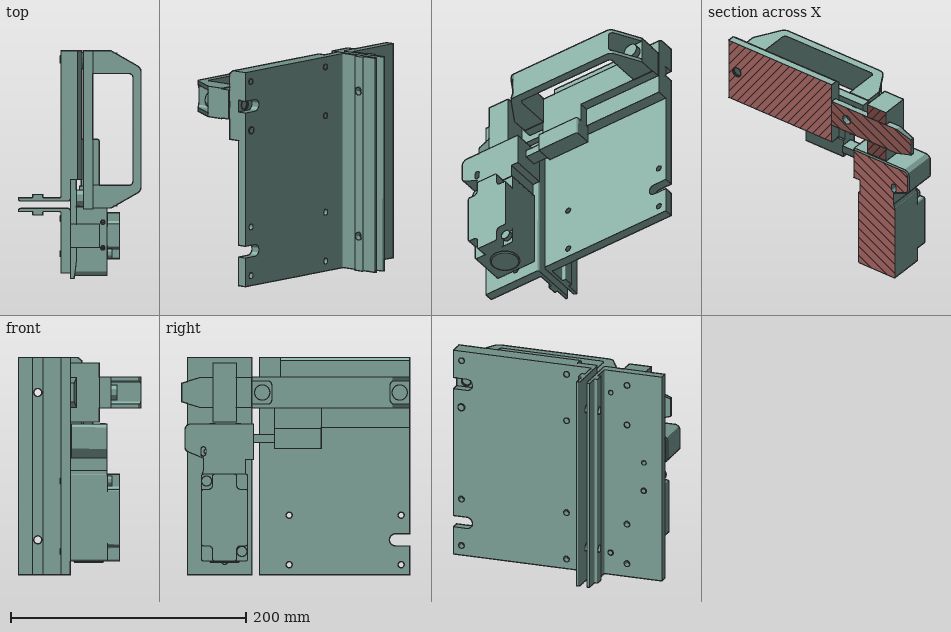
import cadquery as cq


HEIGHT = 185.0
MID_Z = HEIGHT / 2
DOOR_FLANGE_Y = 3.3
FRAME_FLANGE_Y = -2.7
FLANGE_THICK = 3.0
WEB_FRONT_X = 36.3
WEB_BACK_X = 44.2
WEB_THICK = WEB_BACK_X - WEB_FRONT_X
RIB_START_X = 12.2
RIB_END_X = 21.0
RIB_HEIGHT = 3.0
BEND_OUTER_R = 2.1
BEND_INNER_R = 1.2
TIP_R = 2.1
RIB_R = 0.5
DOOR_END_Y = 131.3
FRAME_END_Y = -57.8
FLANGE_HOLE_DIA = 6.5
FLANGE_HOLE_X = (RIB_START_X + RIB_END_X) / 2
LOCK_AXIS_OFFSET = 62.7
WEB_HOLE_DIA = 5.0
BLIND_HOLE_DEPTH = 0.5

DOOR_HOLE_YS = (124.0, 28.7)
DOOR_HOLE_OFFSETS = (83.8, 41.7)
SLOT_WIDTH = 10.0
SLOT_LENGTH = 17.3
CARRIER_BACK_X = 54.1
CARRIER_START_Y = 21.5
CARRIER_HEIGHT = 59.8
CARRIER_CHAMFER_X = 3.7
CARRIER_CHAMFER_Z = 2.7
SLOT_BORE_DIA = 8.0
SLOT_BORE_RIM_DIA = 8.5
SLOT_BORE_RIM_DEPTH = 0.5
SLOT_BORE_DEPTH = 2.0
STUD_DIA = 6.4
TIP_PROTRUSION = 0.8
TIP_CHAMFER = 0.4

BOLT_Z = MID_Z + LOCK_AXIS_OFFSET
BOLT_HEIGHT = 25.2
BOLT_BACK_X = 49.5
BOLT_TAPER_Y = -47.5
OVERALL_LENGTH = 194.0
BOLT_TIP_Y = DOOR_END_Y - OVERALL_LENGTH
BOLT_TIP_BACK_X = 47.5
BOLT_TIP_HEIGHT = 16.0
BOLT_HOLE_DIA = 8.0
SPACER_DIA = 14.0
SCREW_INSET = 8.5
PLATE_FRONT_X = 55.3
PLATE_BACK_X = 63.5
PLATE_END_Y = -3.5
HANDLE_END_Y = -2.7
HANDLE_HEIGHT = 26.4
HANDLE_BACK_X = 104.5
HANDLE_LEG = 19.5
HANDLE_GRIP = 7.2
HANDLE_SLOPE_X = 78.8
HANDLE_SLOPE_RISE = 14.7
HANDLE_OUTER_R = 6.4
HANDLE_INNER_R = 3.1
POCKET_HEIGHT = 19.8
POCKET_CORNER_R = 3.5
POCKET_DEPTH = 16.7
SCREW_HEAD_DIA = 13.0
SCREW_HEAD_LENGTH = 5.2
ACTUATOR_FRONT_X = 53.4
ACTUATOR_BACK_X = 69.0
ACTUATOR_START_Y = 56.0
ACTUATOR_END_Y = 16.1
ACTUATOR_BOTTOM_Z = 107.5
ACTUATOR_TOP_Z = 124.5
ACTUATOR_R = 2.3
TONGUE_FRONT_X = 52.0
TONGUE_BOTTOM_Z = 112.5
TONGUE_TOP_Z = 119.5

LOCK_Y = -26.2
GUIDE_BACK_X = ACTUATOR_BACK_X
GUIDE_WIDTH = 20.0
GUIDE_BOTTOM_Z = 130.0
GUIDE_TOP_Z = 180.5
GUIDE_HOLE_OFFSETS = (80.9, 45.0)
UPPER_SCREW_DROP = 12.6
LOWER_SCREW_DROP = 72.5
UPPER_SCREW = (-41.5, MID_Z - UPPER_SCREW_DROP)
LOWER_SCREW = (-11.5, MID_Z - LOWER_SCREW_DROP)
SPARE_HOLE_DIA = 4.0

HEAD_FRONT_X = WEB_BACK_X
HEAD_CHAMFER = 1.2
HEAD_BACK_X = 75.5
HEAD_TOP_Z = 128.5
HEAD_GAP_Y = -1.5
HEAD_NOSE_Y = -60.0
HEAD_HEEL_Z = 98.2
NOSE_CHIN_Z = 106.0
NOSE_TOP_R = 5.0
NOSE_CHIN_R = 4.3
NECK_Y = -44.2
NECK_TOP_Z = 99.3
NECK_FLARE_TOP_Z = 88.7
HEAD_SLOT_WIDTH = 4.0
HEAD_SLOT_LENGTH = 8.0
HEAD_SLOT_CENTER = (-44.2, MID_Z + UPPER_SCREW_DROP)
COVER_SCREW_DIA = 3.9
COVER_SCREW_X = 72.0
COVER_SCREW_YS = (-14.5, -36.5)
COVER_SCREW_PROTRUSION = 0.5
COVER_SCREW_CHAMFER = 0.4
DRIVER_SLOT_WIDTH = 0.5
CASE_BACK_X = 86.1
CASE_LEDGE_X = 76.0
CASE_BOTTOM_Z = 11.8
CASE_TOP_Z = 85.7
CASE_DEPTH = 39.4
CASE_EDGE_R = 1.7
NOTCH_DEPTH_Y = 9.5
NOTCH_DEPTH_Z = 13.0
NOTCH_INNER_R = 3.7
NOTCH_EDGE_R = 1.7
LOCK_SCREW_HEAD_DIA = 8.5
LOCK_SCREW_HEAD_LENGTH = 3.7
LOCK_SCREW_TIP_DIA = 4.8
GLAND_X = 60.0
GLAND_DIA = 25.2
GLAND_LENGTH = 1.4
GLAND_CHAMFER = 1.0


def block(x0, x1, y0, y1, z0, z1):
    """Box between the given limits."""
    return cq.Workplane("XY").box(x1 - x0, y1 - y0, z1 - z0, centered=False).translate((x0, y0, z0))


def rod_x(diameter, x0, x1, y, z):
    """Cylinder along X."""
    return cq.Workplane("YZ", origin=(x0, y, z)).circle(diameter / 2).extrude(x1 - x0)


def screw_tip(diameter, x_end, y, z):
    """Chamfered screw end that stands out of the front of a web."""
    x_start = WEB_FRONT_X - TIP_PROTRUSION
    return rod_x(diameter, x_start, x_end, y, z).faces("<X").chamfer(TIP_CHAMFER)


def bracket(side, gap_y, end_y):
    """L-profile with a ribbed flange; side is +1 on the +Y side of the gap and -1 on the other."""
    inner_y = gap_y + side * FLANGE_THICK
    rib_y = inner_y + side * RIB_HEIGHT
    outline = [
        (0, gap_y),
        (WEB_BACK_X, gap_y),
        (WEB_BACK_X, end_y),
        (WEB_FRONT_X, end_y),
        (WEB_FRONT_X, inner_y),
        (RIB_END_X, inner_y),
        (RIB_END_X, rib_y),
        (RIB_START_X, rib_y),
        (RIB_START_X, inner_y),
        (0, inner_y),
    ]
    profile = cq.Workplane("XY").polyline(outline).close().extrude(HEIGHT)
    for x, y, radius in (
        (0, gap_y, TIP_R),
        (WEB_BACK_X, gap_y, BEND_OUTER_R),
        (WEB_FRONT_X, inner_y, BEND_INNER_R),
        (RIB_START_X, rib_y, RIB_R),
        (RIB_END_X, rib_y, RIB_R),
        (RIB_START_X, inner_y, RIB_R),
        (RIB_END_X, inner_y, RIB_R),
    ):
        profile = profile.edges(cq.NearestToPointSelector((x, y, MID_Z))).fillet(radius)
    for offset in (-LOCK_AXIS_OFFSET, LOCK_AXIS_OFFSET):
        hole = cq.Workplane("XZ", origin=(FLANGE_HOLE_X, 0, MID_Z + offset)).circle(FLANGE_HOLE_DIA / 2)
        profile = profile.cut(hole.extrude(abs(rib_y), both=True))
    return profile


def web_holes(y, offsets, upper_depth=WEB_THICK):
    """Through holes below mid height and their mirror images above it, which may be blind."""
    upper_end_x = WEB_FRONT_X + upper_depth
    holes = cq.Workplane("YZ")
    for offset in offsets:
        holes = holes.union(rod_x(WEB_HOLE_DIA, WEB_FRONT_X, WEB_BACK_X, y, MID_Z - offset))
        holes = holes.union(rod_x(WEB_HOLE_DIA, WEB_FRONT_X, upper_end_x, y, MID_Z + offset))
    return holes


def make_door_bracket():
    """Long bracket whose upper part carries a block behind the web."""
    body = bracket(1, DOOR_FLANGE_Y, DOOR_END_Y)
    for y in DOOR_HOLE_YS:
        body = body.cut(web_holes(y, DOOR_HOLE_OFFSETS, BLIND_HOLE_DEPTH))
    slot_round_y = DOOR_END_Y - SLOT_LENGTH + SLOT_WIDTH / 2
    for z in (MID_Z - LOCK_AXIS_OFFSET, BOLT_Z):
        z0 = z - SLOT_WIDTH / 2
        slot = block(WEB_FRONT_X, WEB_BACK_X, slot_round_y, DOOR_END_Y, z0, z0 + SLOT_WIDTH)
        body = body.cut(slot).cut(rod_x(SLOT_WIDTH, WEB_FRONT_X, WEB_BACK_X, slot_round_y, z))

    carrier_outline = [
        (WEB_BACK_X, HEIGHT - CARRIER_HEIGHT),
        (CARRIER_BACK_X, HEIGHT - CARRIER_HEIGHT),
        (CARRIER_BACK_X, HEIGHT - CARRIER_CHAMFER_Z),
        (CARRIER_BACK_X - CARRIER_CHAMFER_X, HEIGHT),
        (WEB_BACK_X, HEIGHT),
    ]
    carrier = cq.Workplane("XZ", origin=(0, DOOR_END_Y, 0)).polyline(carrier_outline).close()
    body = body.union(carrier.extrude(DOOR_END_Y - CARRIER_START_Y))

    bore_y = DOOR_END_Y - SCREW_INSET
    bore_floor_x = WEB_BACK_X + SLOT_BORE_DEPTH
    rim_floor_x = WEB_BACK_X + SLOT_BORE_RIM_DEPTH
    body = body.cut(rod_x(SLOT_BORE_DIA, WEB_BACK_X, bore_floor_x, bore_y, BOLT_Z))
    body = body.cut(rod_x(SLOT_BORE_RIM_DIA, WEB_BACK_X, rim_floor_x, bore_y, BOLT_Z))

    stud_z = MID_Z + DOOR_HOLE_OFFSETS[1]
    return body.union(screw_tip(STUD_DIA, WEB_BACK_X, DOOR_HOLE_YS[0], stud_z))


def make_bolt():
    """Flat bolt with a tapered tip and a cross hole in line with the front handle screw."""
    z0 = BOLT_Z - BOLT_HEIGHT / 2
    bar = block(WEB_BACK_X, BOLT_BACK_X, BOLT_TAPER_Y, CARRIER_START_Y, z0, z0 + BOLT_HEIGHT)
    base_width = BOLT_BACK_X - WEB_BACK_X
    tip_width = BOLT_TIP_BACK_X - WEB_BACK_X
    tip = (
        cq.Workplane("XZ", origin=(WEB_BACK_X, BOLT_TAPER_Y, BOLT_Z))
        .center(base_width / 2, 0)
        .rect(base_width, BOLT_HEIGHT)
        .workplane(offset=BOLT_TAPER_Y - BOLT_TIP_Y)
        .center((tip_width - base_width) / 2, 0)
        .rect(tip_width, BOLT_TIP_HEIGHT)
        .loft(ruled=True)
    )
    hole = rod_x(BOLT_HOLE_DIA, WEB_BACK_X, BOLT_BACK_X, HANDLE_END_Y + SCREW_INSET, BOLT_Z)
    return bar.union(tip).cut(hole)


def make_handle():
    """Bow handle with sloped shoulders and a screw pocket in each of them."""
    z0 = BOLT_Z - HANDLE_HEIGHT / 2
    outline = [
        (PLATE_BACK_X, HANDLE_END_Y),
        (HANDLE_SLOPE_X, HANDLE_END_Y),
        (HANDLE_BACK_X, HANDLE_END_Y + HANDLE_SLOPE_RISE),
        (HANDLE_BACK_X, DOOR_END_Y - HANDLE_SLOPE_RISE),
        (HANDLE_SLOPE_X, DOOR_END_Y),
        (PLATE_BACK_X, DOOR_END_Y),
    ]
    bow = cq.Workplane("XY", origin=(0, 0, z0)).polyline(outline).close().extrude(HANDLE_HEIGHT)
    bow = bow.edges("|Z and >X").fillet(HANDLE_OUTER_R)
    opening = block(
        PLATE_BACK_X,
        HANDLE_BACK_X - HANDLE_GRIP,
        HANDLE_END_Y + HANDLE_LEG,
        DOOR_END_Y - HANDLE_LEG,
        z0,
        z0 + HANDLE_HEIGHT,
    )
    bow = bow.cut(opening.edges("|Z and >X").fillet(HANDLE_INNER_R))
    pocket_z = BOLT_Z - POCKET_HEIGHT / 2
    for end_y, inward in ((HANDLE_END_Y, 1), (DOOR_END_Y, -1)):
        floor_y = end_y + inward * POCKET_DEPTH
        pocket = block(
            HANDLE_SLOPE_X,
            HANDLE_BACK_X,
            min(end_y, floor_y),
            max(end_y, floor_y),
            pocket_z,
            pocket_z + POCKET_HEIGHT,
        )
        pocket = pocket.edges("|X").edges(">Y" if inward > 0 else "<Y").fillet(POCKET_CORNER_R)
        head_end_x = HANDLE_SLOPE_X + SCREW_HEAD_LENGTH
        screw_y = end_y + inward * SCREW_INSET
        bow = bow.cut(pocket).union(rod_x(SCREW_HEAD_DIA, HANDLE_SLOPE_X, head_end_x, screw_y, BOLT_Z))
    return bow


def make_actuator():
    """Lock actuator hung from the slide plate, with a tongue that reaches the lock."""
    body = block(
        ACTUATOR_FRONT_X, ACTUATOR_BACK_X, ACTUATOR_END_Y, ACTUATOR_START_Y, ACTUATOR_BOTTOM_Z, ACTUATOR_TOP_Z
    )
    body = body.edges("|Z and >X and >Y").fillet(ACTUATOR_R)
    tongue = block(
        TONGUE_FRONT_X, PLATE_BACK_X, HEAD_GAP_Y, ACTUATOR_END_Y, TONGUE_BOTTOM_Z, TONGUE_TOP_Z
    )
    hanger = block(
        PLATE_FRONT_X, PLATE_BACK_X, ACTUATOR_END_Y, ACTUATOR_START_Y, ACTUATOR_TOP_Z, BOLT_Z
    )
    return body.union(tongue).union(hanger)


def make_slide():
    """Bolt, slide plate, spacers, handle and actuator, which move together."""
    z0 = BOLT_Z - BOLT_HEIGHT / 2
    plate = block(PLATE_FRONT_X, PLATE_BACK_X, PLATE_END_Y, DOOR_END_Y, z0, z0 + BOLT_HEIGHT)
    front_spacer = rod_x(SPACER_DIA, BOLT_BACK_X, PLATE_FRONT_X, HANDLE_END_Y + SCREW_INSET, BOLT_Z)
    rear_spacer = rod_x(SPACER_DIA, CARRIER_BACK_X, PLATE_FRONT_X, DOOR_END_Y - SCREW_INSET, BOLT_Z)
    slide = plate.union(front_spacer).union(rear_spacer)
    return slide.union(make_bolt()).union(make_handle()).union(make_actuator())


def make_frame_bracket():
    """Short bracket with a guide block that bridges the bolt."""
    body = bracket(-1, FRAME_FLANGE_Y, FRAME_END_Y)
    body = body.cut(web_holes(LOCK_Y, GUIDE_HOLE_OFFSETS, BLIND_HOLE_DEPTH))
    for y, z in (UPPER_SCREW, LOWER_SCREW):
        body = body.cut(rod_x(LOCK_SCREW_TIP_DIA, WEB_FRONT_X, WEB_BACK_X, y, z))
        body = body.cut(rod_x(SPARE_HOLE_DIA, WEB_FRONT_X, WEB_BACK_X, y, HEIGHT - z))
    guide_y = LOCK_Y - GUIDE_WIDTH / 2
    guide_end_y = guide_y + GUIDE_WIDTH
    guide = block(WEB_BACK_X, GUIDE_BACK_X, guide_y, guide_end_y, GUIDE_BOTTOM_Z, GUIDE_TOP_Z)
    tunnel_z = BOLT_Z - BOLT_HEIGHT / 2
    tunnel = block(WEB_BACK_X, BOLT_BACK_X, guide_y, guide_end_y, tunnel_z, tunnel_z + BOLT_HEIGHT)
    return body.union(guide.cut(tunnel))


def make_lock_head():
    """Overhanging head and neck of the lock, with two cover screws on top."""
    case_outer_y = LOCK_Y - CASE_DEPTH / 2
    case_gap_y = LOCK_Y + CASE_DEPTH / 2
    outline = [
        (case_gap_y - CASE_EDGE_R, HEAD_HEEL_Z),
        (HEAD_GAP_Y, HEAD_HEEL_Z),
        (HEAD_GAP_Y, HEAD_TOP_Z),
        (HEAD_NOSE_Y, HEAD_TOP_Z),
        (HEAD_NOSE_Y, NOSE_CHIN_Z),
        (NECK_Y, NECK_TOP_Z),
        (NECK_Y, NECK_FLARE_TOP_Z),
        (case_outer_y, CASE_TOP_Z - CASE_EDGE_R),
        (case_gap_y - CASE_EDGE_R, CASE_TOP_Z - CASE_EDGE_R),
    ]
    head = cq.Workplane("YZ", origin=(HEAD_FRONT_X, 0, 0)).polyline(outline).close()
    head = head.extrude(HEAD_BACK_X - HEAD_FRONT_X)
    for z, radius in ((HEAD_TOP_Z, NOSE_TOP_R), (NOSE_CHIN_Z, NOSE_CHIN_R)):
        corner = ((HEAD_FRONT_X + HEAD_BACK_X) / 2, HEAD_NOSE_Y, z)
        head = head.edges(cq.NearestToPointSelector(corner)).fillet(radius)
    nose_zone = cq.selectors.BoxSelector(
        (HEAD_FRONT_X - HEAD_CHAMFER, HEAD_NOSE_Y - HEAD_CHAMFER, NECK_TOP_Z),
        (HEAD_FRONT_X + HEAD_CHAMFER, HEAD_GAP_Y - HEAD_CHAMFER, HEAD_TOP_Z + HEAD_CHAMFER),
    )
    head = head.faces("<X").edges(nose_zone).chamfer(HEAD_CHAMFER)
    slot = cq.Workplane("YZ", origin=(HEAD_FRONT_X, *HEAD_SLOT_CENTER))
    slot = slot.slot2D(HEAD_SLOT_LENGTH, HEAD_SLOT_WIDTH, 90).extrude(HEAD_BACK_X - HEAD_FRONT_X)
    head = head.cut(slot)
    for y in COVER_SCREW_YS:
        screw = cq.Workplane("XY", origin=(COVER_SCREW_X, y, HEAD_TOP_Z)).circle(COVER_SCREW_DIA / 2)
        slot = cq.Workplane("XY", origin=(COVER_SCREW_X, y, HEAD_TOP_Z))
        slot = slot.rect(COVER_SCREW_DIA, DRIVER_SLOT_WIDTH)
        screw = screw.extrude(COVER_SCREW_PROTRUSION).faces(">Z").chamfer(COVER_SCREW_CHAMFER)
        screw = screw.cut(slot.extrude(COVER_SCREW_PROTRUSION))
        head = head.union(screw)
    return head


def make_lock_case():
    """Lower lock case with stepped corners and a short cable gland underneath."""
    y0 = LOCK_Y - CASE_DEPTH / 2
    y1 = y0 + CASE_DEPTH
    case = block(WEB_BACK_X, CASE_BACK_X, y0, y1, CASE_BOTTOM_Z, CASE_TOP_Z).edges("|X").fillet(CASE_EDGE_R)
    notch_mid_x = (CASE_LEDGE_X + CASE_BACK_X) / 2
    notch_sides_y = ((y0, y0 + NOTCH_DEPTH_Y), (y1, y1 - NOTCH_DEPTH_Y))
    notch_sides_z = (
        (CASE_BOTTOM_Z, CASE_BOTTOM_Z + NOTCH_DEPTH_Z),
        (CASE_TOP_Z, CASE_TOP_Z - NOTCH_DEPTH_Z),
    )
    for y, y_in in notch_sides_y:
        for z, z_in in notch_sides_z:
            notch = block(
                CASE_LEDGE_X, CASE_BACK_X, min(y, y_in), max(y, y_in), min(z, z_in), max(z, z_in)
            )
            inner_corner = cq.NearestToPointSelector((notch_mid_x, y_in, z_in))
            case = case.cut(notch.edges(inner_corner).fillet(NOTCH_INNER_R))
            for edge_y, edge_z in ((y, z_in), (y_in, z)):
                rim = cq.NearestToPointSelector((notch_mid_x, edge_y, edge_z))
                case = case.edges(rim).fillet(NOTCH_EDGE_R)
    gland = cq.Workplane("XY", origin=(GLAND_X, LOCK_Y, CASE_BOTTOM_Z)).circle(GLAND_DIA / 2)
    return case.union(gland.extrude(-GLAND_LENGTH).faces("<Z").chamfer(GLAND_CHAMFER))


def make_lock():
    """Lock with its two mounting screws, whose ends pass through the frame bracket."""
    lock = make_lock_case().union(make_lock_head())
    for y, z in (UPPER_SCREW, LOWER_SCREW):
        screw_head = rod_x(
            LOCK_SCREW_HEAD_DIA, CASE_LEDGE_X, CASE_LEDGE_X + LOCK_SCREW_HEAD_LENGTH, y, z
        )
        lock = lock.union(screw_head).union(screw_tip(LOCK_SCREW_TIP_DIA, HEAD_FRONT_X, y, z))
    return lock


door_bracket = make_door_bracket()
slide = make_slide()
frame_bracket = make_frame_bracket()
lock = make_lock()

bodies = (door_bracket, slide, frame_bracket, lock)
result = cq.Compound.makeCompound([body.solids().val() for body in bodies])